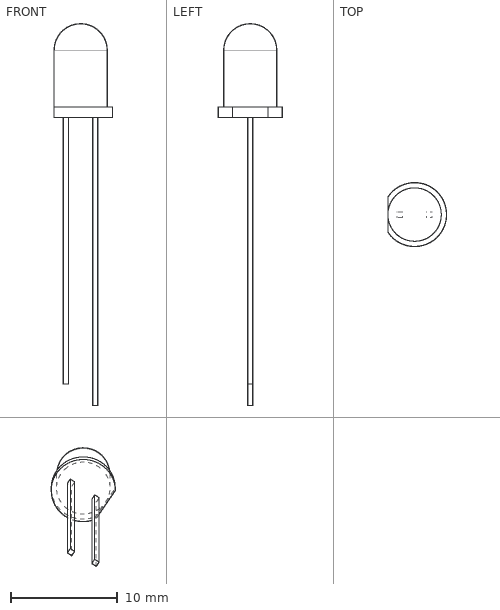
import cadquery as cq

lens_radius = 2.5
lens_height = 8.8
flange_radius = 3.0
flange_thickness = 1.0
flat_x = -lens_radius

total_height = 35.8
lead_width = 0.5
lead_spacing = 2.75
long_lead_length = total_height - lens_height
short_lead_length = 25.0


def make_lens():
    """Domed lens and its flange, as one solid."""
    dome_base = lens_height - lens_radius
    flange = cq.Workplane("XY").circle(flange_radius).extrude(flange_thickness)
    kept_side = cq.Workplane("XY").box(
        flange_radius - flat_x, 2 * flange_radius, flange_thickness, centered=(False, True, False)
    ).translate((flat_x, 0, 0))
    flange = flange.intersect(kept_side)
    domed_body = (
        cq.Workplane("XZ")
        .lineTo(lens_radius, 0)
        .lineTo(lens_radius, dome_base)
        .radiusArc((0, lens_height), -lens_radius)
        .close()
        .revolve(360, (0, 0, 0), (0, 1, 0))
    )
    return flange.union(domed_body)


def make_lead(center_x, length):
    """Square wire ending at the flange underside."""
    return (
        cq.Workplane("XY")
        .center(center_x, 0)
        .rect(lead_width, lead_width)
        .extrude(-length)
    )


lens = make_lens()
lead_places = [
    (-lead_spacing / 2, short_lead_length),
    (lead_spacing / 2, long_lead_length),
]
leads = [make_lead(center_x, length) for center_x, length in lead_places]

result = cq.Compound.makeCompound([lens.val(), *[lead.val() for lead in leads]])